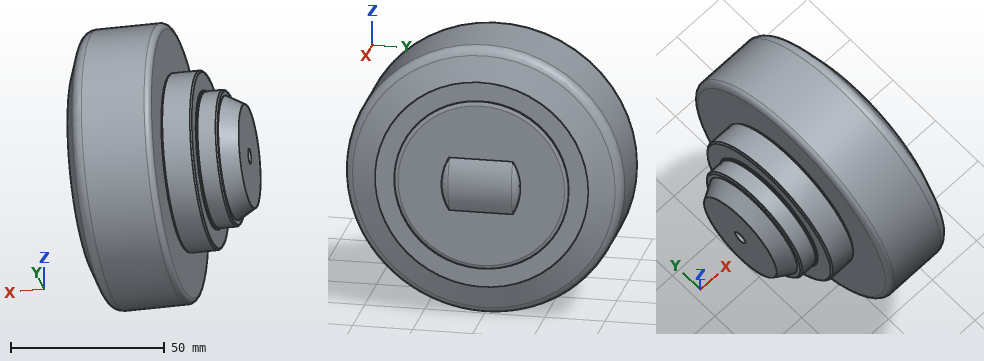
import cadquery as cq


cone_tip_radius = 17.1
cone_base_radius = 20.5
cone_length = 6.0

small_hub_radius = 45.0 / 2
small_hub_end = 13.0
large_hub_radius = 59.0 / 2
hub_chamfer = 0.6
groove_bevel = 0.5

wheel_radius = 46.2
wheel_start = 23.3
wheel_end = 53.2
inner_edge_round = 2.0
outer_edge_round = 4.0
outer_face_radius = 35.5
outer_taper_length = 4.25

cover_radius = 58.0 / 2
cover_face_radius = 55.3 / 2
cover_rim_end = 53.7
cover_face = 54.05

overall_length = 57.0
grip_half_thickness = 2.6
grip_half_width = 9.15
grip_straight_length = 21.1

hole_diameter = 4.9
hole_depth = 7.4


def turned(profile):
    """Revolve a closed (x, radius) profile about the X axis."""
    return profile.close().revolve(360, (0, 0, 0), (1, 0, 0))


def hub(start, end, radius):
    """Disc between two x positions with both rims chamfered."""
    disc = cq.Workplane("YZ", origin=(start, 0, 0)).circle(radius).extrude(end - start)
    return disc.edges().chamfer(hub_chamfer)


def stub_cone():
    return turned(
        cq.Workplane("XY")
        .lineTo(0, cone_tip_radius)
        .lineTo(cone_length, cone_base_radius)
        .lineTo(cone_length, 0)
    )


def wheel():
    taper_start = wheel_end - outer_taper_length
    body = turned(
        cq.Workplane("XY")
        .moveTo(wheel_start, 0)
        .lineTo(wheel_start, wheel_radius)
        .lineTo(taper_start, wheel_radius)
        .lineTo(wheel_end, outer_face_radius)
        .lineTo(wheel_end, 0)
    )
    rims = body.edges(cq.selectors.RadiusNthSelector(-1))
    body = rims.edges("<X").fillet(inner_edge_round)
    outer_rim = body.edges(cq.selectors.RadiusNthSelector(-1)).edges(">X")
    return outer_rim.fillet(outer_edge_round)


def cover():
    return turned(
        cq.Workplane("XY")
        .moveTo(wheel_end, 0)
        .lineTo(wheel_end, cover_radius)
        .lineTo(cover_rim_end, cover_radius)
        .lineTo(cover_face, cover_face_radius)
        .lineTo(cover_face, 0)
    )


def grip():
    mid_plane = overall_length - grip_half_thickness
    half_length = grip_straight_length / 2

    def half_lens(y):
        """Upper half of the lens section, standing on its chord."""
        return (
            cq.Workplane("XZ", origin=(mid_plane, y, 0))
            .moveTo(0, -grip_half_width)
            .threePointArc((grip_half_thickness, 0), (0, grip_half_width))
        )

    lens = half_lens(half_length).threePointArc((-grip_half_thickness, 0), (0, -grip_half_width)).close()
    bar = lens.extrude(grip_straight_length)
    for y in (-half_length, half_length):
        bar = bar.union(half_lens(y).close().revolve(360, (0, 0, 0), (0, 1, 0)))
    return bar


def hub_groove():
    """Bevelled mouth of the large hub around the small hub."""
    return turned(
        cq.Workplane("XY")
        .moveTo(small_hub_end, small_hub_radius - hub_chamfer)
        .lineTo(small_hub_end, small_hub_radius + groove_bevel)
        .lineTo(small_hub_end + groove_bevel, small_hub_radius)
        .lineTo(small_hub_end + groove_bevel, small_hub_radius - hub_chamfer)
    )


def centre_hole():
    return cq.Workplane("YZ").circle(hole_diameter / 2).extrude(hole_depth)


result = (
    stub_cone()
    .union(hub(cone_length, small_hub_end, small_hub_radius))
    .union(hub(small_hub_end, wheel_start, large_hub_radius))
    .union(wheel())
    .union(cover())
    .union(grip())
)
result = result.cut(hub_groove())
result = result.cut(centre_hole())